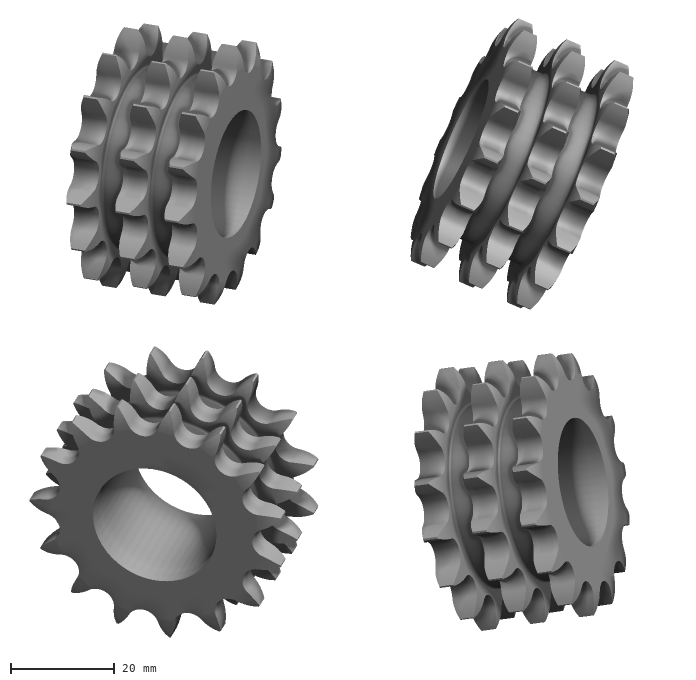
import math

import cadquery as cq


CHAIN_PITCH = 9.525
ROLLER_DIAMETER = 6.35
STRAND_SPACING = 10.24

STRANDS = 3
TEETH = 15
OVERALL_WIDTH = 25.69
TIP_RADIUS = 25.685
HUB_RADIUS = 17.75
BORE_RADIUS = 12.5
HUB_FILLET = 0.5
FACE_ROUND_RADIUS = 10.0
FACE_ROUND_START = 21.0

TOOTH_ANGLE = 360 / TEETH
PITCH_RADIUS = CHAIN_PITCH / (2 * math.sin(math.radians(TOOTH_ANGLE / 2)))
SEAT_RADIUS = 0.505 * ROLLER_DIAMETER
SEAT_HALF_ANGLE = (140 - 90 / TEETH) / 2
FLANK_RADIUS = 0.12 * ROLLER_DIAMETER * (TEETH + 2)

DISC_WIDTH = OVERALL_WIDTH - (STRANDS - 1) * STRAND_SPACING
STRAND_CENTRES = [(i - (STRANDS - 1) / 2) * STRAND_SPACING for i in range(STRANDS)]
CUTTER_CLEARANCE = 2.0
CUTTER_RADIUS = TIP_RADIUS + CUTTER_CLEARANCE


def polar(centre, radius, degrees):
    """Point at a radius and angle from a centre."""
    angle = math.radians(degrees)
    return (centre[0] + radius * math.cos(angle), centre[1] + radius * math.sin(angle))


def revolve_about_x(profile):
    """Full turn of a profile about the sprocket axis."""
    return profile.revolve(360, (0, 0, 0), (1, 0, 0))


def make_disc(x_centre):
    """Toothless disc whose rim narrows towards the tip along two tangent arcs."""
    half_width = DISC_WIDTH / 2

    def half_width_at(radius):
        rise = radius - FACE_ROUND_START
        return half_width - FACE_ROUND_RADIUS + math.sqrt(FACE_ROUND_RADIUS**2 - rise**2)

    mid_radius = (FACE_ROUND_START + TIP_RADIUS) / 2
    mid_half = half_width_at(mid_radius)
    tip_half = half_width_at(TIP_RADIUS)
    profile = (
        cq.Workplane("XY")
        .moveTo(x_centre - half_width, 0)
        .lineTo(x_centre - half_width, FACE_ROUND_START)
        .threePointArc((x_centre - mid_half, mid_radius), (x_centre - tip_half, TIP_RADIUS))
        .lineTo(x_centre + tip_half, TIP_RADIUS)
        .threePointArc((x_centre + mid_half, mid_radius), (x_centre + half_width, FACE_ROUND_START))
        .lineTo(x_centre + half_width, 0)
        .close()
    )
    return revolve_about_x(profile)


def make_gap_cutter():
    """Tooth gap opening along +Y: roller seat arc with a convex flank arc tangent on each side."""
    seat_centre = (PITCH_RADIUS, 0)
    seat_bottom = (PITCH_RADIUS - SEAT_RADIUS, 0)
    seat_end_angle = 180 - SEAT_HALF_ANGLE
    seat_end = polar(seat_centre, SEAT_RADIUS, seat_end_angle)
    flank_centre = polar(seat_centre, SEAT_RADIUS + FLANK_RADIUS, seat_end_angle)

    flank_start_angle = seat_end_angle - 180
    flank_end_angle = -math.degrees(math.acos((CUTTER_RADIUS - flank_centre[0]) / FLANK_RADIUS))
    flank_mid = polar(flank_centre, FLANK_RADIUS, (flank_start_angle + flank_end_angle) / 2)
    flank_end = polar(flank_centre, FLANK_RADIUS, flank_end_angle)

    def mirrored(point):
        return (point[0], -point[1])

    return (
        cq.Workplane("YZ")
        .workplane(offset=-OVERALL_WIDTH / 2)
        .moveTo(*mirrored(flank_end))
        .threePointArc(mirrored(flank_mid), mirrored(seat_end))
        .threePointArc(seat_bottom, seat_end)
        .threePointArc(flank_mid, flank_end)
        .close()
        .extrude(OVERALL_WIDTH)
    )


def make_hub_section(x_centre):
    """Hub between two neighbouring discs, flared by a fillet where it meets each disc."""
    half_gap = (STRAND_SPACING - DISC_WIDTH) / 2
    flare_radius = HUB_RADIUS + HUB_FILLET
    x_left = x_centre - half_gap
    x_right = x_centre + half_gap
    fillet_inset = HUB_FILLET * (1 - math.sqrt(0.5))
    profile = (
        cq.Workplane("XY")
        .moveTo(x_left, 0)
        .lineTo(x_left, flare_radius)
        .threePointArc((x_left + fillet_inset, HUB_RADIUS + fillet_inset), (x_left + HUB_FILLET, HUB_RADIUS))
        .lineTo(x_right - HUB_FILLET, HUB_RADIUS)
        .threePointArc((x_right - fillet_inset, HUB_RADIUS + fillet_inset), (x_right, flare_radius))
        .lineTo(x_right, 0)
        .close()
    )
    return revolve_about_x(profile)


def make_sprocket():
    """Discs joined by hub sections, then toothed and bored."""
    body = make_disc(STRAND_CENTRES[0])
    for x_centre in STRAND_CENTRES[1:]:
        body = body.union(make_disc(x_centre))
        body = body.union(make_hub_section(x_centre - STRAND_SPACING / 2))

    gap = make_gap_cutter()
    for i in range(TEETH):
        body = body.cut(gap.rotate((0, 0, 0), (1, 0, 0), i * TOOTH_ANGLE))

    bore = (
        cq.Workplane("YZ")
        .workplane(offset=-OVERALL_WIDTH / 2)
        .circle(BORE_RADIUS)
        .extrude(OVERALL_WIDTH)
    )
    return body.cut(bore)


result = make_sprocket()